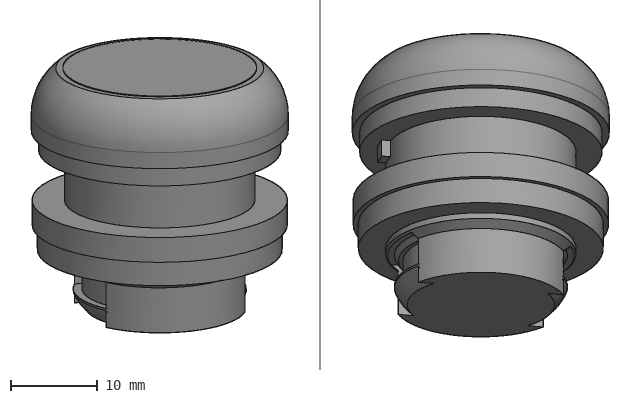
import cadquery as cq
import math

COLLAR_TOP = 5.45
CONE_TOP = 6.3
NUT_BOTTOM = 7.0
NUT_SHOULDER = 10.0
NUT_TOP = 13.0
SEAT_BOTTOM = 19.0
CAP_BOTTOM = 21.35
DOME_BOTTOM = 23.3
DOME_TOP = 28.9
TOTAL_HEIGHT = 29.0

COLLAR_RADIUS = 10.0
NECK_RADIUS = 11.0
NUT_LOWER_RADIUS = 14.15
NUT_UPPER_RADIUS = 14.75
SEAT_RADIUS = 14.0
CAP_RADIUS = 14.85
RIM_RADIUS = 12.0
BUTTON_RADIUS = 11.2

WINDOW_WIDTH = 10.2
WINDOW_FLOOR_RADIUS = 9.0
WINDOW_TOP = 6.1
RELIEF_LOWER_RADIUS = 9.5
RELIEF_UPPER_RADIUS = 10.0
HOOK_TOP = 2.3
HOOK_LIP_BOTTOM = 2.05
HOOK_BOTTOM_RADIUS = 8.5
HOOK_FLANK_RADIUS = 6.0

KEY_WIDTH = 2.0
KEY_RADIUS = 12.0
KEY_HEIGHT = 2.0

CUT_RADIUS = NECK_RADIUS + 1.0


def revolve_about_z(profile):
    """Turn a closed (radius, height) profile drawn on XZ around the Z axis."""
    return profile.close().revolve(360, (0, 0, 0), (0, 1, 0))


def make_body():
    inset = CAP_RADIUS - RIM_RADIUS
    rise = DOME_TOP - DOME_BOTTOM
    dome_radius = (inset**2 + rise**2) / (2 * inset)
    half_angle = math.asin(rise / dome_radius) / 2
    dome_middle = (
        CAP_RADIUS - dome_radius * (1 - math.cos(half_angle)),
        DOME_BOTTOM + dome_radius * math.sin(half_angle),
    )
    profile = (
        cq.Workplane("XZ")
        .moveTo(0, 0)
        .lineTo(COLLAR_RADIUS, 0)
        .lineTo(COLLAR_RADIUS, COLLAR_TOP)
        .lineTo(NECK_RADIUS, CONE_TOP)
        .lineTo(NECK_RADIUS, NUT_BOTTOM)
        .lineTo(NUT_LOWER_RADIUS, NUT_BOTTOM)
        .lineTo(NUT_LOWER_RADIUS, NUT_SHOULDER)
        .lineTo(NUT_UPPER_RADIUS, NUT_SHOULDER)
        .lineTo(NUT_UPPER_RADIUS, NUT_TOP)
        .lineTo(NECK_RADIUS, NUT_TOP)
        .lineTo(NECK_RADIUS, SEAT_BOTTOM)
        .lineTo(SEAT_RADIUS, SEAT_BOTTOM)
        .lineTo(SEAT_RADIUS, CAP_BOTTOM)
        .lineTo(CAP_RADIUS, CAP_BOTTOM)
        .lineTo(CAP_RADIUS, DOME_BOTTOM)
        .threePointArc(dome_middle, (RIM_RADIUS, DOME_TOP))
        .lineTo(BUTTON_RADIUS, DOME_TOP)
        .lineTo(BUTTON_RADIUS, TOTAL_HEIGHT)
        .lineTo(0, TOTAL_HEIGHT)
    )
    return revolve_about_z(profile)


def make_window_cutter():
    """Ring-shaped cuts around each hook, limited to the window width."""
    above_hook = revolve_about_z(
        cq.Workplane("XZ")
        .moveTo(WINDOW_FLOOR_RADIUS, HOOK_TOP)
        .lineTo(CUT_RADIUS, HOOK_TOP)
        .lineTo(CUT_RADIUS, WINDOW_TOP)
        .lineTo(RELIEF_UPPER_RADIUS, WINDOW_TOP)
        .lineTo(RELIEF_LOWER_RADIUS, COLLAR_TOP)
        .lineTo(WINDOW_FLOOR_RADIUS, COLLAR_TOP)
    )
    hook_flank = revolve_about_z(
        cq.Workplane("XZ")
        .moveTo(HOOK_BOTTOM_RADIUS, 0)
        .radiusArc((COLLAR_RADIUS, HOOK_LIP_BOTTOM), -HOOK_FLANK_RADIUS)
        .lineTo(CUT_RADIUS, HOOK_LIP_BOTTOM)
        .lineTo(CUT_RADIUS, 0)
    )
    window_band = cq.Workplane("XY").box(
        WINDOW_WIDTH, 2 * CUT_RADIUS, WINDOW_TOP, centered=(True, True, False)
    )
    return above_hook.union(hook_flank).intersect(window_band)


def make_key():
    return (
        cq.Workplane("XY")
        .workplane(offset=SEAT_BOTTOM - KEY_HEIGHT)
        .center(0, KEY_RADIUS / 2)
        .rect(KEY_WIDTH, KEY_RADIUS)
        .extrude(KEY_HEIGHT)
    )


result = make_body().cut(make_window_cutter()).union(make_key())